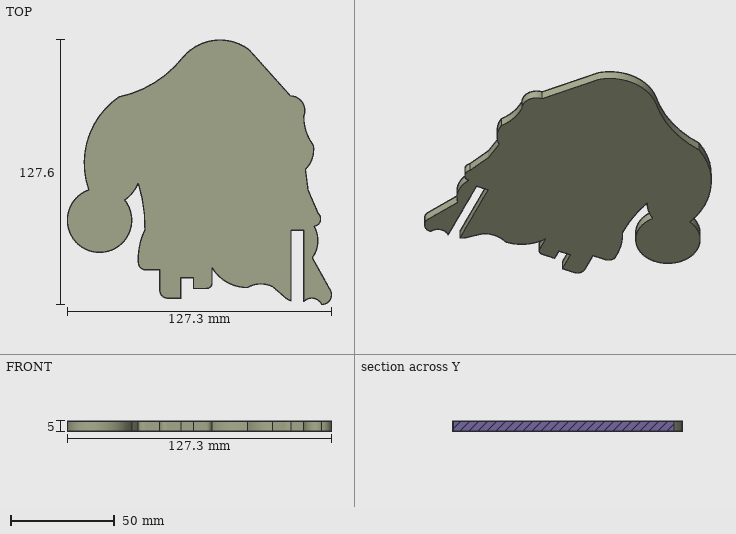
import cadquery as cq

thickness = 5.0

pompom_radius = 15.5
pompom_center_y = 40.7

slot_width = 6.0
slot_left = 107.9
slot_right = slot_left + slot_width
slot_top = 35.8
notch_left = 54.7
notch_right = notch_left + slot_width
notch_top = 12.9

hair_bottom = 16.7
hair_left = 34.2
hair_corner_radius = 3.7
neck_left = 44.5
neck_bottom = 3.0
neck_corner_radius = 4.0
throat_right = 69.8
throat_bottom = 7.8
throat_corner_radius = 2.5

hat_at_pompom = (10.3, 55.4)
hat_fold = (24.9, 100.1)
crown_start = (55.9, 119.4)
crown_end = (87.5, 123.0)
brim_top = (107.5, 100.7)
brim_bottom = (114.0, 91.0)
brow = (118.6, 76.8)
nose_bridge = (114.8, 65.2)
moustache_top = (116.1, 55.2)
moustache_tip = (121.0, 44.0)
mouth = (119.0, 37.8)
chin = (118.1, 22.6)
beard_tip_front = (127.0, 6.5)
beard_tip_back = (122.6, 0.0)
beard_curl_start = (104.0, 4.3)
beard_curl_end = (98.9, 8.7)
beard_cusp = (86.7, 8.2)
hair_bend = (37.4, 36.1)
hair_top = (34.2, 58.4)
tassel_gap = (27.5, 50.3)


def add_hat(outline):
    """Back of the hat, sweep up to the crown and straight front to the brim."""
    return (
        outline
        .threePointArc((12.6, 86.4), hat_fold)
        .threePointArc((41.5, 106.6), crown_start)
        .threePointArc((73.2, 127.6), crown_end)
        .lineTo(*brim_top)
    )


def add_face(outline):
    """Brim, brow, nose, moustache and lip, ending at the chin."""
    return (
        outline
        .threePointArc((112.6, 98.4), brim_bottom)
        .threePointArc((115.2, 83.3), brow)
        .threePointArc((118.0, 70.2), nose_bridge)
        .lineTo(*moustache_top)
        .lineTo(*moustache_tip)
        .threePointArc((122.1, 40.7), mouth)
        .threePointArc((120.8, 30.1), chin)
    )


def add_beard(outline):
    """Beard tip, long slot and wavy lower edge back to the throat."""
    return (
        outline
        .lineTo(*beard_tip_front)
        .threePointArc((126.4, 1.9), beard_tip_back)
        .threePointArc((118.5, 3.0), (slot_right, 1.4))
        .lineTo(slot_right, slot_top)
        .lineTo(slot_left, slot_top)
        .lineTo(slot_left, 1.8)
        .threePointArc((105.8, 2.8), beard_curl_start)
        .lineTo(*beard_curl_end)
        .threePointArc((93.1, 10.0), beard_cusp)
        .threePointArc((77.0, 10.7), (throat_right, 17.7))
    )


def add_neck(outline):
    """Stepped neck with its notch, from the throat to the back hair."""
    return (
        outline
        .lineTo(throat_right, throat_bottom + throat_corner_radius)
        .radiusArc((throat_right - throat_corner_radius, throat_bottom), throat_corner_radius)
        .lineTo(notch_right, throat_bottom)
        .lineTo(notch_right, notch_top)
        .lineTo(notch_left, notch_top)
        .lineTo(notch_left, neck_bottom)
        .lineTo(neck_left + neck_corner_radius, neck_bottom)
        .radiusArc((neck_left, neck_bottom + neck_corner_radius), neck_corner_radius)
        .lineTo(neck_left, hair_bottom)
        .lineTo(hair_left + hair_corner_radius, hair_bottom)
        .radiusArc((hair_left, hair_bottom + hair_corner_radius), hair_corner_radius)
    )


def add_hair(outline):
    """Back hair up to the gap behind the pompom, closed across the pompom."""
    return (
        outline
        .threePointArc((35.0, 29.2), hair_bend)
        .threePointArc((36.7, 47.0), hair_top)
        .threePointArc((31.5, 54.0), tassel_gap)
        .close()
    )


outline = cq.Workplane("XY").moveTo(*hat_at_pompom)
for add_section in (add_hat, add_face, add_beard, add_neck, add_hair):
    outline = add_section(outline)
head = outline.extrude(thickness)

pompom = (
    cq.Workplane("XY")
    .center(pompom_radius, pompom_center_y)
    .circle(pompom_radius)
    .extrude(thickness)
)

result = head.union(pompom)